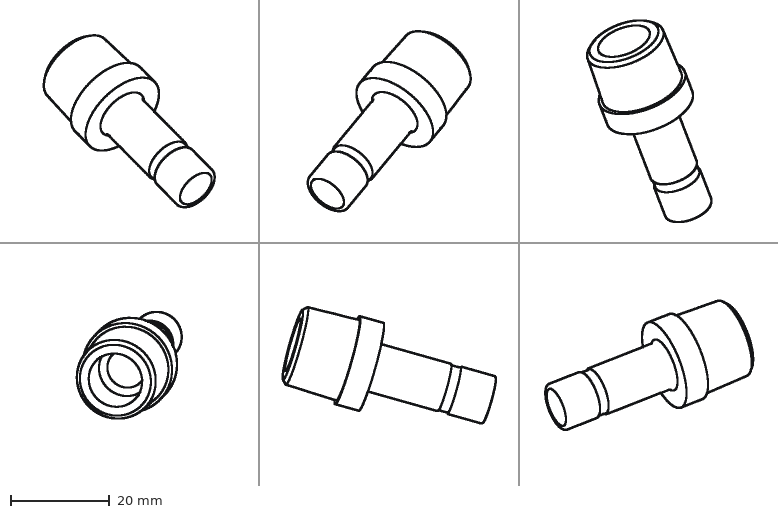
import cadquery as cq
import math

total_length = 41.5
thread_length = 11.55
gauge_length = 6.3
collar_width = 5.0
groove_start = 32.05
groove_width = 2.0

gauge_radius = 8.35
radius_taper = 1 / 32
thread_chamfer = 0.85

collar_radius = 9.25
stem_diameter = 10.0
root_length = 1.0
root_height = 0.5
groove_depth = 0.25
tip_round = 0.5

socket_radius = 5.5
socket_depth = 10.0
bore_radius = 4.0
drill_half_angle = 59.0

ARC_MIDDLE_INSET = 1 - math.sqrt(0.5)

collar_end = thread_length + collar_width
groove_end = groove_start + groove_width
stem_radius = stem_diameter / 2
groove_radius = stem_radius - groove_depth


def thread_radius(x):
    """Radius of the tapered envelope at axial position x."""
    return gauge_radius + (x - gauge_length) * radius_taper


def revolve_about_x(profile):
    """Full revolution about the X axis, keeping the cones on both sides of the gauge line apart."""
    return profile.revolve(360, (0, 0, 0), (1, 0, 0), clean=False)


def body():
    """Solid outer shape."""
    root_radius = (root_length**2 + root_height**2) / (2 * root_height)
    root_half_angle = math.asin(root_length / root_radius) / 2
    root_middle = (
        collar_end + root_length - root_radius * math.sin(root_half_angle),
        stem_radius + root_radius * (1 - math.cos(root_half_angle)),
    )
    tip_offset = tip_round * ARC_MIDDLE_INSET
    lip_offset = groove_depth * ARC_MIDDLE_INSET
    lip_middle_radius = stem_radius - lip_offset
    profile = (
        cq.Workplane("XY")
        .lineTo(0, thread_radius(thread_chamfer) - thread_chamfer)
        .lineTo(thread_chamfer, thread_radius(thread_chamfer))
        .lineTo(gauge_length, gauge_radius)
        .lineTo(thread_length, thread_radius(thread_length))
        .lineTo(thread_length, collar_radius)
        .lineTo(collar_end, collar_radius)
        .lineTo(collar_end, stem_radius + root_height)
        .threePointArc(root_middle, (collar_end + root_length, stem_radius))
        .lineTo(groove_start - groove_depth, stem_radius)
        .threePointArc((groove_start - lip_offset, lip_middle_radius), (groove_start, groove_radius))
        .lineTo(groove_end, groove_radius)
        .threePointArc((groove_end + lip_offset, lip_middle_radius), (groove_end + groove_depth, stem_radius))
        .lineTo(total_length - tip_round, stem_radius)
        .threePointArc(
            (total_length - tip_offset, stem_radius - tip_offset),
            (total_length, stem_radius - tip_round),
        )
        .lineTo(total_length, 0)
        .close()
    )
    return revolve_about_x(profile)


def bore():
    """Through bore with a wider socket that ends in a drill-point cone."""
    cone_length = (socket_radius - bore_radius) / math.tan(math.radians(drill_half_angle))
    profile = (
        cq.Workplane("XY")
        .lineTo(0, socket_radius)
        .lineTo(socket_depth, socket_radius)
        .lineTo(socket_depth + cone_length, bore_radius)
        .lineTo(total_length, bore_radius)
        .lineTo(total_length, 0)
        .close()
    )
    return revolve_about_x(profile)


result = body().cut(bore(), clean=False)